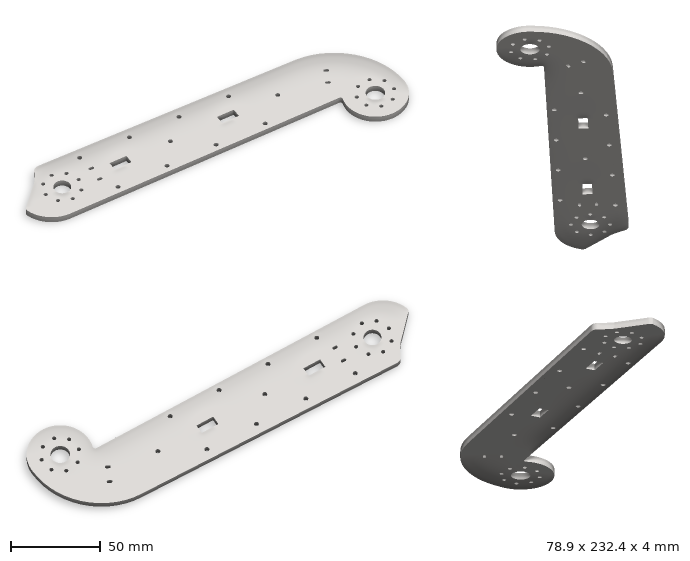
import cadquery as cq
import math

THICKNESS = 4.0
SMALL = 0.02

UPPER_HUB = (0, 0)
LOWER_HUB = (18.0, -189.0)
UPPER_HUB_RADIUS = 18.8
UPPER_BORE_DIAMETER = 11.0
LOWER_BORE_DIAMETER = 10.0
BOLT_CIRCLE_RADIUS = 11.0
BOLT_COUNT = 8
BOLT_HOLE_DIAMETER = 2.3
LOWER_BOLT_ANGLE = 15

LEFT_LEAN = 12.6
RIGHT_LEAN = 13.7
SLOT_LEAN = 12

LEFT_EDGE_TOP = (-38.0, -35.3)
SHOULDER_START = (-38.8, -20.7)
SHOULDER_END = (-22.3, 9.3)
HUB_BLEND_ANGLE = 112
NOTCH_CORNER_X = -2.8
NOTCH_RADIUS = 1.5
LEFT_EDGE_BOTTOM_Y = -200.0
TOE_CURVE_END = (10.0, -203.0)
TOE_CURVE_MIDDLE = (4.2, -201.0)
TOE_RADIUS = 4.5
TIP = (28.5, -214.0)
TIP_RADIUS = 2.5
RIGHT_EDGE_BOTTOM_Y = -191.0

ARM_HOLE_DIAMETER = 2.8
SIDE_HOLE_PITCH = 32.0
SIDE_HOLE_COUNT = 4
LEFT_HOLE_START = (-22.0, -79.0)
RIGHT_HOLE_START = (4.5, -66.0)
CENTRE_HOLE_START = (-14.9, -52.5)
WINDOW_OFFSET = 32.5
CENTRE_PITCH = 70.1
WINDOW_WIDTH = 5.5
WINDOW_LENGTH = 11.0
SLOT_LENGTH = 3.3
SLOT_WIDTH = 1.9
SLOT_SPACING = 9.5
UPPER_SLOTS = (-20.5, -21.8)
LOWER_SLOTS = (13.5, -168.2)


def polar(centre, radius, angle):
    """Point at a radius and an angle in degrees from a centre."""
    a = math.radians(angle)
    return (centre[0] + radius * math.cos(a), centre[1] + radius * math.sin(a))


def down_arm(start, distance, lean):
    """Point a distance down a line that leans from the Y axis."""
    return polar(start, distance, lean - 90)


def on_line(start, lean, y):
    """Point at height y on a leaning line."""
    return (start[0] + (start[1] - y) * math.tan(math.radians(lean)), y)


def round_corner(body, point, radius):
    """Fillet the vertical edge that stands on an outline point."""
    low = (point[0] - SMALL, point[1] - SMALL, -SMALL)
    high = (point[0] + SMALL, point[1] + SMALL, THICKNESS + SMALL)
    return body.edges(cq.selectors.BoxSelector(low, high)).fillet(radius)


def make_plate():
    toe = on_line(LEFT_EDGE_TOP, LEFT_LEAN, LEFT_EDGE_BOTTOM_Y)
    notch_y = -math.sqrt(UPPER_HUB_RADIUS**2 - NOTCH_CORNER_X**2)
    notch = (NOTCH_CORNER_X, notch_y)
    right_bottom = on_line(notch, RIGHT_LEAN, RIGHT_EDGE_BOTTOM_Y)
    chord_angle = math.degrees(math.atan2(TIP[1] - right_bottom[1], TIP[0] - right_bottom[0]))
    turn = (RIGHT_LEAN - 90) - chord_angle
    half_chord = math.dist(TIP, right_bottom) / 2
    nose_radius = half_chord / math.sin(math.radians(turn))
    nose_centre = polar(right_bottom, nose_radius, RIGHT_LEAN + 180)
    nose_middle = polar(nose_centre, nose_radius, RIGHT_LEAN - turn)
    hub_blend = polar(UPPER_HUB, UPPER_HUB_RADIUS, HUB_BLEND_ANGLE)
    hub_side = polar(UPPER_HUB, UPPER_HUB_RADIUS, 0)
    body = (
        cq.Workplane("XY")
        .moveTo(*toe)
        .lineTo(*LEFT_EDGE_TOP)
        .tangentArcPoint(SHOULDER_START, relative=False)
        .tangentArcPoint(SHOULDER_END, relative=False)
        .tangentArcPoint(hub_blend, relative=False)
        .threePointArc(hub_side, notch)
        .lineTo(*right_bottom)
        .threePointArc(nose_middle, TIP)
        .lineTo(*TOE_CURVE_END)
        .threePointArc(TOE_CURVE_MIDDLE, toe)
        .close()
        .extrude(THICKNESS)
    )
    body = round_corner(body, toe, TOE_RADIUS)
    body = round_corner(body, TIP, TIP_RADIUS)
    return round_corner(body, notch, NOTCH_RADIUS)


def holes(points, diameter):
    return cq.Workplane("XY").pushPoints(points).circle(diameter / 2).extrude(THICKNESS)


def hub_cutter(centre, bore_diameter, first_angle):
    step = 360 / BOLT_COUNT
    bolts = [polar(centre, BOLT_CIRCLE_RADIUS, first_angle + i * step) for i in range(BOLT_COUNT)]
    return holes([centre], bore_diameter).union(holes(bolts, BOLT_HOLE_DIAMETER))


def side_hole_cutter(start, lean):
    points = [down_arm(start, i * SIDE_HOLE_PITCH, lean) for i in range(SIDE_HOLE_COUNT)]
    return holes(points, ARM_HOLE_DIAMETER)


def window_cutter(centre):
    window = cq.Workplane("XY").rect(WINDOW_WIDTH, WINDOW_LENGTH).extrude(THICKNESS)
    return window.rotate((0, 0, 0), (0, 0, 1), RIGHT_LEAN).translate(centre)


def slot_pair_cutter(centre, lean):
    pair = (
        cq.Workplane("XY")
        .pushPoints([(-SLOT_SPACING / 2, 0), (SLOT_SPACING / 2, 0)])
        .slot2D(SLOT_LENGTH, SLOT_WIDTH, 90)
        .extrude(THICKNESS)
    )
    return pair.rotate((0, 0, 0), (0, 0, 1), lean).translate(centre)


result = make_plate()
result = result.cut(hub_cutter(UPPER_HUB, UPPER_BORE_DIAMETER, 0))
result = result.cut(hub_cutter(LOWER_HUB, LOWER_BORE_DIAMETER, LOWER_BOLT_ANGLE))
result = result.cut(side_hole_cutter(LEFT_HOLE_START, LEFT_LEAN))
result = result.cut(side_hole_cutter(RIGHT_HOLE_START, RIGHT_LEAN))

for distance in (0, CENTRE_PITCH):
    hole = down_arm(CENTRE_HOLE_START, distance, RIGHT_LEAN)
    window = down_arm(hole, WINDOW_OFFSET, RIGHT_LEAN)
    result = result.cut(holes([hole], ARM_HOLE_DIAMETER))
    result = result.cut(window_cutter((window[0], window[1], 0)))

result = result.cut(slot_pair_cutter((*UPPER_SLOTS, 0), -SLOT_LEAN))
result = result.cut(slot_pair_cutter((*LOWER_SLOTS, 0), SLOT_LEAN))